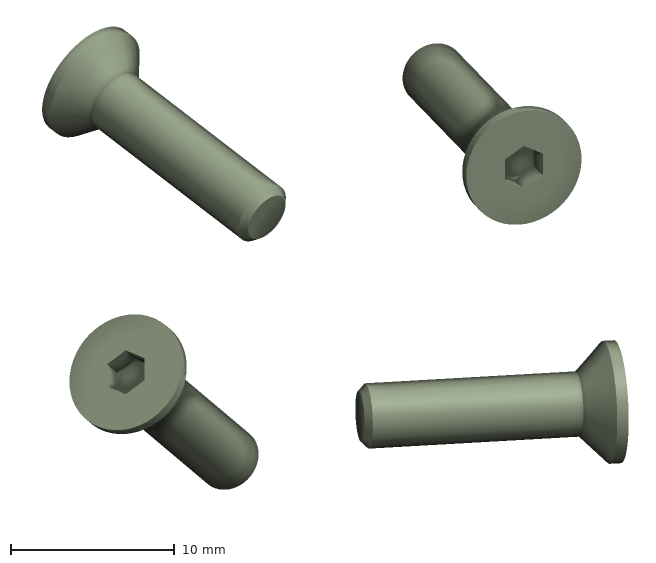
import cadquery as cq
import math

length = 16.0
head_diameter = 7.53
head_height = 2.48
shank_diameter = 4.0
tip_chamfer = 0.43

socket_across_flats = 2.5
socket_corner_depth = 1.5
socket_taper_angle = 120.0

head_radius = head_diameter / 2
shank_radius = shank_diameter / 2
rim_thickness = head_height - (head_radius - shank_radius)


def revolve_about_x(half_profile):
    return half_profile.close().revolve(360, (0, 0, 0), (1, 0, 0))


def screw_body():
    """Head rim, countersink, shank and chamfered tip, revolved about X."""
    half_profile = (
        cq.Workplane("XY")
        .lineTo(0, head_radius)
        .lineTo(rim_thickness, head_radius)
        .lineTo(head_height, shank_radius)
        .lineTo(length - tip_chamfer, shank_radius)
        .lineTo(length, shank_radius - tip_chamfer)
        .lineTo(length, 0)
    )
    return revolve_about_x(half_profile)


def hex_socket():
    """Hexagonal prism with corners toward +Z and -Z, tapering at its end into a flat floor."""
    floor_radius = socket_across_flats / 2
    corner_radius = floor_radius / math.cos(math.pi / 6)
    taper_height = (corner_radius - floor_radius) / math.tan(math.radians(socket_taper_angle / 2))
    floor_depth = socket_corner_depth + taper_height

    prism = (
        cq.Workplane("YZ")
        .polygon(6, 2 * corner_radius)
        .extrude(floor_depth)
        .rotate((0, 0, 0), (1, 0, 0), 30)
    )
    half_profile = (
        cq.Workplane("XY")
        .lineTo(0, corner_radius)
        .lineTo(socket_corner_depth, corner_radius)
        .lineTo(floor_depth, floor_radius)
        .lineTo(floor_depth, 0)
    )
    return prism.intersect(revolve_about_x(half_profile))


result = screw_body().cut(hex_socket())